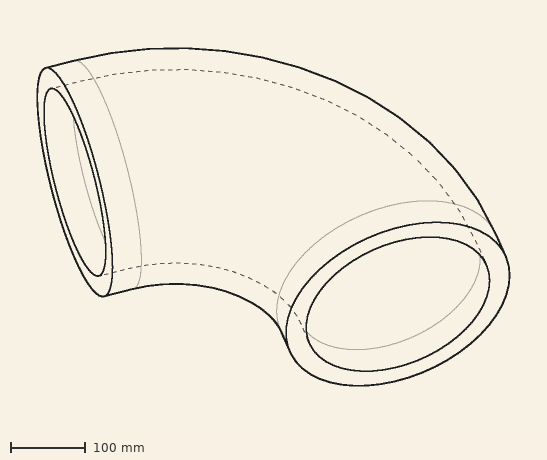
import cadquery as cq

overall_length = 497.5
outer_diameter = 315.0
wall_thickness = 28.5
straight_length = 40.5
bend_angle = 90

outer_radius = outer_diameter / 2
inner_radius = outer_radius - wall_thickness
bend_radius = overall_length - straight_length - outer_radius


def ring(plane):
    """Pipe cross-section centred on the given plane."""
    return cq.Workplane(plane).circle(outer_radius).circle(inner_radius)


front_mouth_plane = cq.Plane(origin=(-bend_radius, 0, 0), xDir=(1, 0, 0), normal=(0, -1, 0))
side_mouth_plane = cq.Plane(origin=(0, bend_radius, 0), xDir=(0, 1, 0), normal=(1, 0, 0))

bend = ring(front_mouth_plane).revolve(bend_angle, (bend_radius, 0), (bend_radius, -1))

front_collar = ring(front_mouth_plane).extrude(straight_length)
side_collar = ring(side_mouth_plane).extrude(straight_length)

result = bend.union(front_collar).union(side_collar)